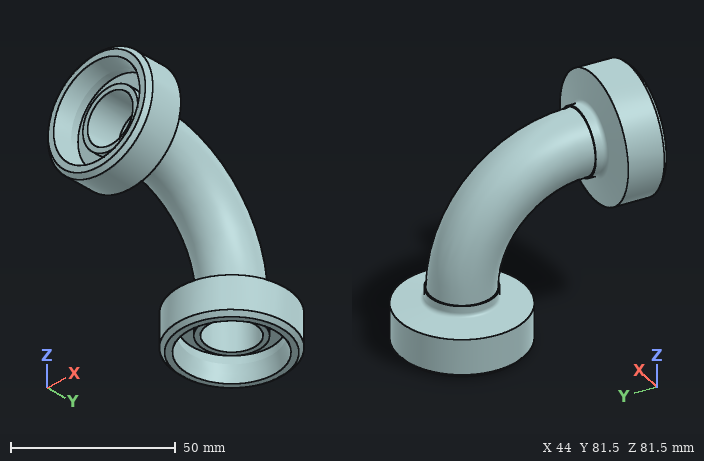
import cadquery as cq
import math

bore_radius = 19 / 2
tube_radius = 22 / 2
bend_radius = 40.0

flange_radius = 44 / 2
flange_height = 19.5
rim_height = 14.0
rim_chamfer = 1.6
neck_radius = 23 / 2
shoulder_angle = math.radians(10)
neck_fillet = 1.5

recess_radius = 32.8 / 2
recess_taper_angle = math.radians(15)
recess_taper_depth = 6.0
recess_depth = 9.0
spigot_setback = 6.0

recess_mouth_radius = recess_radius + recess_taper_depth * math.tan(recess_taper_angle)

fillet_center_radius = neck_radius + neck_fillet
fillet_end_radius = fillet_center_radius - neck_fillet * math.sin(shoulder_angle)
fillet_end_height = rim_height + (flange_radius - fillet_end_radius) * math.tan(shoulder_angle)
fillet_center_height = fillet_end_height + neck_fillet * math.cos(shoulder_angle)
fillet_mid_angle = (math.pi / 2 - shoulder_angle) / 2
fillet_mid = (
    fillet_center_radius - neck_fillet * math.cos(fillet_mid_angle),
    fillet_center_height - neck_fillet * math.sin(fillet_mid_angle),
)


def make_flange():
    """Flange about the Z axis, mating face at Z = 0 facing down, neck pointing up."""
    profile = (
        cq.Workplane("XZ")
        .moveTo(bore_radius, spigot_setback)
        .lineTo(neck_radius, spigot_setback)
        .lineTo(neck_radius, recess_depth)
        .lineTo(recess_radius, recess_depth)
        .lineTo(recess_radius, recess_taper_depth)
        .lineTo(recess_mouth_radius, 0)
        .lineTo(flange_radius - rim_chamfer, 0)
        .lineTo(flange_radius, rim_chamfer)
        .lineTo(flange_radius, rim_height)
        .lineTo(fillet_end_radius, fillet_end_height)
        .threePointArc(fillet_mid, (neck_radius, fillet_center_height))
        .lineTo(neck_radius, flange_height)
        .lineTo(bore_radius, flange_height)
        .close()
    )
    return profile.revolve(360, (0, 0, 0), (0, 1, 0))


def make_elbow():
    """Quarter bend rising from the lower flange and turning toward -Y."""
    section = cq.Workplane("XY", origin=(0, 0, flange_height)).circle(tube_radius).circle(bore_radius)
    return section.revolve(90, (0, -bend_radius, 0), (1, -bend_radius, 0))


elbow = make_elbow()

bisector_start = (0, -bend_radius, flange_height)
bisector_end = (0, -bend_radius + 1, flange_height + 1)
half_turns = (0, 180)
flanges = [make_flange().rotate(bisector_start, bisector_end, turn) for turn in half_turns]

result = cq.Compound.makeCompound([elbow.val()] + [flange.val() for flange in flanges])